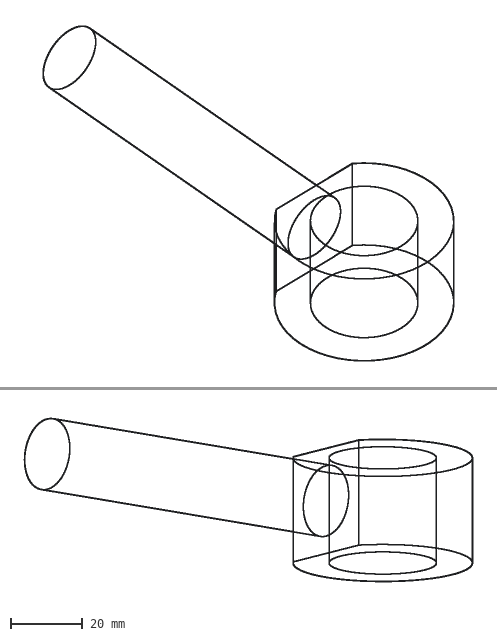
import cadquery as cq

overall_length = 145.3
ring_diameter = 50.0
bore_diameter = 30.0
ring_height = 30.0
rod_diameter = 20.0
flat_distance = 20.3

ring_radius = ring_diameter / 2
rod_length = overall_length - ring_radius - flat_distance


def make_ring():
    """Solid ring blank on the Z axis, cut flat on its -X side."""
    blank = cq.Workplane("XY").circle(ring_radius).extrude(ring_height / 2, both=True)
    keep_box = (
        cq.Workplane("XY")
        .box(flat_distance + ring_radius, ring_diameter, ring_height, centered=(False, True, True))
        .translate((-flat_distance, 0, 0))
    )
    return blank.intersect(keep_box)


def make_rod():
    """Round rod running along -X from the flat, at mid height."""
    return (
        cq.Workplane("YZ", origin=(-flat_distance, 0, 0))
        .circle(rod_diameter / 2)
        .extrude(-rod_length)
    )


def make_bore():
    """Through bore on the ring axis."""
    return cq.Workplane("XY").circle(bore_diameter / 2).extrude(ring_height / 2, both=True)


result = make_ring().union(make_rod()).cut(make_bore())